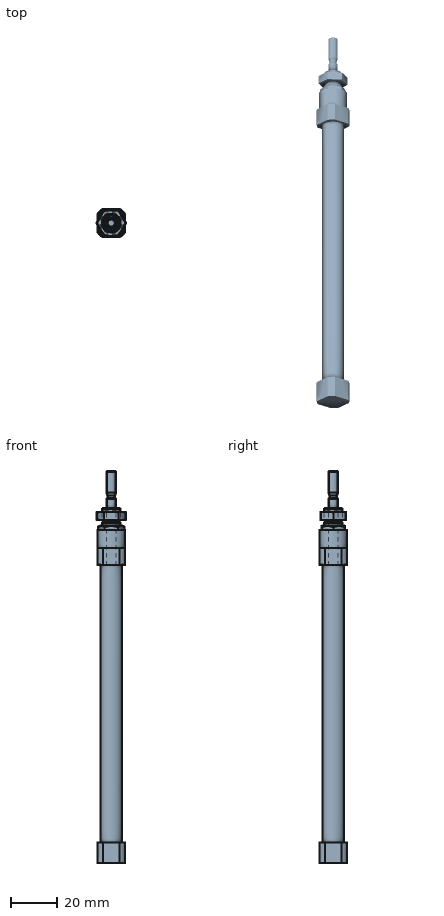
import cadquery as cq

total_length = 169.5

cap_width = 12.0
cap_corner_diameter = 14.0
rear_cap_length = 9.0
tube_diameter = 9.3
front_cap_bottom = 129.0
front_square_length = 7.3
front_cap_top = 144.0

collar_corner_diameter = 11.5
collar_height = 1.9
collar_face_diameter = 9.3
collar_bevel_drop = 0.6

nose_diameter = 8.0
nose_length = 7.6
nose_end_diameter = 7.0
relief_diameter = 6.5
relief_bottom = 147.6
recess_diameter = 5.0
recess_depth = 1.0

rod_diameter = 4.0
neck_diameter = 3.2
neck_bottom = 157.8
neck_top = 159.0
runout_length = 1.2

nut_corner_diameter = 12.7
nut_face_diameter = 10.8
nut_height = 3.5
nut_bottom = 148.3
nut_bevel_drop = 0.2

collar_top = front_cap_top + collar_height
nose_top = collar_top + nose_length
nose_chamfer = (nose_diameter - nose_end_diameter) / 2
rod_chamfer = (rod_diameter - neck_diameter) / 2
nut_top = nut_bottom + nut_height


def cylinder(diameter, bottom, top):
    """Round bar along Z between two heights."""
    return cq.Workplane("XY").workplane(offset=bottom).circle(diameter / 2).extrude(top - bottom)


def bevelled_hexagon(corner_diameter, face_diameter, bevel_drop, bottom, top, bevelled_faces):
    """Hexagonal prism with two corners on the X axis, its chosen end faces bevelled by a cone."""
    prism = cq.Workplane("XY").workplane(offset=bottom).polygon(6, corner_diameter).extrude(top - bottom)
    bevel_inset = (corner_diameter - face_diameter) / 2
    envelope = cylinder(corner_diameter, bottom, top)
    envelope = envelope.faces(bevelled_faces).chamfer(bevel_drop, bevel_inset)
    return prism.intersect(envelope)


def square_block(bottom, height):
    """Square cap section whose corners are rounded about the Z axis."""
    block = cq.Workplane("XY").workplane(offset=bottom).rect(cap_width, cap_width).extrude(height)
    return block.intersect(cylinder(cap_corner_diameter, bottom, bottom + height))


def make_collar():
    return bevelled_hexagon(
        collar_corner_diameter, collar_face_diameter, collar_bevel_drop, front_cap_top, collar_top, ">Z"
    )


def make_nose():
    """Nose in two threaded lengths with chamfered ends, joined by the relief groove's core."""
    lower = cylinder(nose_diameter, collar_top, relief_bottom).faces(">Z").chamfer(nose_chamfer)
    core = cylinder(relief_diameter, relief_bottom, nut_bottom)
    upper = cylinder(nose_diameter, nut_bottom, nose_top).faces(">Z").chamfer(nose_chamfer)
    return lower.union(core).union(upper)


def make_housing():
    body = square_block(0, rear_cap_length)
    body = body.union(cylinder(tube_diameter, rear_cap_length, front_cap_bottom))
    body = body.union(square_block(front_cap_bottom, front_square_length))
    body = body.union(cylinder(cap_width, front_cap_bottom, front_cap_top))
    body = body.union(make_collar())
    body = body.union(make_nose())
    rod_bore = cylinder(rod_diameter, front_cap_bottom, nose_top)
    recess = cylinder(recess_diameter, nose_top - recess_depth, nose_top)
    return body.cut(rod_bore).cut(recess)


def make_rod():
    shaft = cylinder(rod_diameter, front_cap_bottom, neck_bottom).faces(">Z").chamfer(rod_chamfer)
    neck = cylinder(neck_diameter, neck_bottom, neck_top)
    thread = cylinder(rod_diameter, neck_top, total_length)
    thread = thread.faces("<Z").chamfer(runout_length, rod_chamfer)
    thread = thread.faces(">Z").chamfer(rod_chamfer)
    return shaft.union(neck).union(thread)


def make_nut():
    nut_body = bevelled_hexagon(
        nut_corner_diameter, nut_face_diameter, nut_bevel_drop, nut_bottom, nut_top, "<Z or >Z"
    )
    return nut_body.cut(cylinder(nose_diameter, nut_bottom, nut_top))


housing = make_housing()
rod = make_rod()
nut = make_nut()

result = cq.Compound.makeCompound([housing.val(), rod.val(), nut.val()])